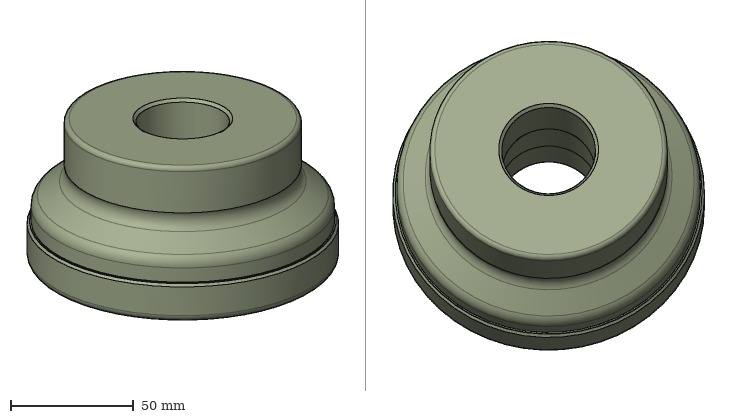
import cadquery as cq
import math

total_height = 62.6

base_radius = 63.5
base_height = 16.9
base_top_chamfer = 1.0
base_bottom_fillet = 3.0

flange_radius = 61.8
lip_thickness = 0.4
lip_radius = base_radius - base_top_chamfer
collar_radius = 48.4
collar_bottom = 42.2
collar_fillet = 2.0
shoulder_start = 23.6
shoulder_fillet = 6.0
shoulder_slope = math.radians(35)
neck_end_radius = 50.3
neck_end_height = 34.7
neck_fillet = 6.0

bore_radius = 19.0
bore_top_chamfer = 1.3
relief_radius = 20.6
relief_cone_top = 38.7
relief_cone_height = 3.8


def make_base():
    """Ring with a chamfered top edge, a rounded bottom edge and the relief bore."""
    ring = cq.Workplane("XY").circle(base_radius).extrude(base_height)
    ring = ring.faces(">Z").edges().chamfer(base_top_chamfer)
    ring = ring.faces("<Z").edges().fillet(base_bottom_fillet)
    return ring.cut(cq.Workplane("XY").circle(relief_radius).extrude(base_height))


def neck_middle():
    """Middle point of the neck arc, from its two ends and its radius."""
    chord_r = neck_end_radius - collar_radius
    chord_z = neck_end_height - collar_bottom
    chord = math.hypot(chord_r, chord_z)
    sag = neck_fillet - math.sqrt(neck_fillet**2 - (chord / 2) ** 2)
    middle_r = (collar_radius + neck_end_radius) / 2 + sag * chord_z / chord
    middle_z = (collar_bottom + neck_end_height) / 2 - sag * chord_r / chord
    return middle_r, middle_z


def make_hub():
    """Turned hub: foot lip, flange wall, rounded sloping shoulder, neck, collar and stepped bore."""
    turn = math.pi / 2 - shoulder_slope
    arc_center_r = flange_radius - shoulder_fillet

    def shoulder_point(angle):
        return (
            arc_center_r + shoulder_fillet * math.cos(angle),
            shoulder_start + shoulder_fillet * math.sin(angle),
        )

    lip_top = base_height + lip_thickness
    profile = (
        cq.Workplane("XZ")
        .moveTo(relief_radius, base_height)
        .lineTo(lip_radius, base_height)
        .lineTo(lip_radius, lip_top)
        .lineTo(flange_radius, lip_top)
        .lineTo(flange_radius, shoulder_start)
        .threePointArc(shoulder_point(turn / 2), shoulder_point(turn))
        .lineTo(neck_end_radius, neck_end_height)
        .threePointArc(neck_middle(), (collar_radius, collar_bottom))
        .lineTo(collar_radius, total_height - collar_fillet)
        .radiusArc((collar_radius - collar_fillet, total_height), -collar_fillet)
        .lineTo(bore_radius + bore_top_chamfer, total_height)
        .lineTo(bore_radius, total_height - bore_top_chamfer)
        .lineTo(bore_radius, relief_cone_top)
        .lineTo(relief_radius, relief_cone_top - relief_cone_height)
        .close()
    )
    return profile.revolve(360, (0, 0, 0), (0, 1, 0))


base = make_base()
hub = make_hub()

result = cq.Compound.makeCompound([base.val(), hub.val()])